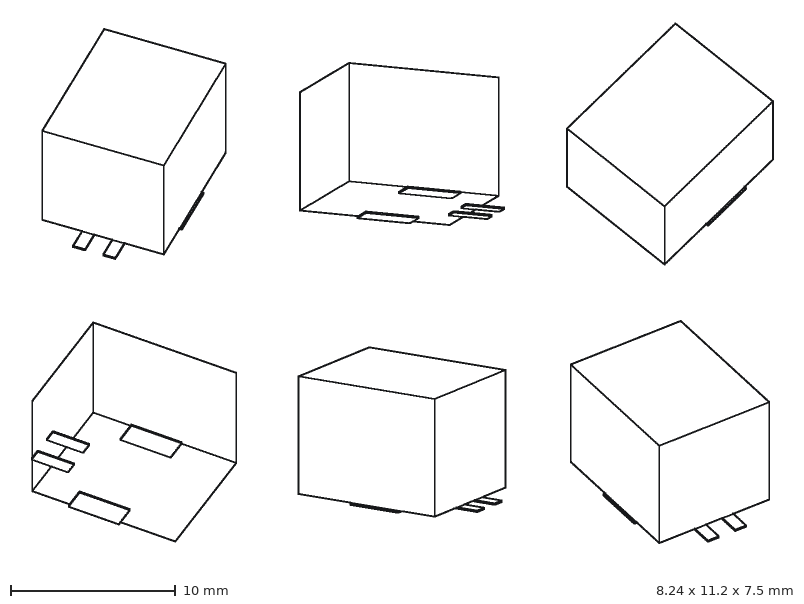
import cadquery as cq

overall_width = 8.24
overall_length = 11.2
overall_height = 7.5

housing_width = 8.0
housing_length = 9.8

terminal_thickness = 0.1

pad_width = 1.45
pad_length = 3.45
pad_back_inset = 3.8

lead_width = 0.8
lead_length = 2.5
lead_pitch = 1.98

housing_height = overall_height - terminal_thickness
lead_protrusion = overall_length - housing_length
pad_x = (overall_width - pad_width) / 2
pad_y = housing_length / 2 - pad_back_inset - pad_length / 2
lead_x = lead_pitch / 2
lead_y = -housing_length / 2 - lead_protrusion + lead_length / 2


def make_housing():
    """Plain rectangular block standing on the terminals."""
    return cq.Workplane("XY").box(
        housing_width, housing_length, housing_height, centered=(True, True, False)
    )


def make_terminal(width, length, x, y):
    """Flat plate centred at (x, y), its top touching the housing's underside."""
    plate = cq.Workplane("XY").box(width, length, terminal_thickness, centered=(True, True, False))
    return plate.translate((x, y, -terminal_thickness))


def make_side_pad(side):
    return make_terminal(pad_width, pad_length, side * pad_x, pad_y)


def make_lead(side):
    return make_terminal(lead_width, lead_length, side * lead_x, lead_y)


housing = make_housing()
side_pads = [make_side_pad(side) for side in (-1, 1)]
leads = [make_lead(side) for side in (-1, 1)]

result = cq.Compound.makeCompound(
    [housing.val(), *[pad.val() for pad in side_pads], *[lead.val() for lead in leads]]
)